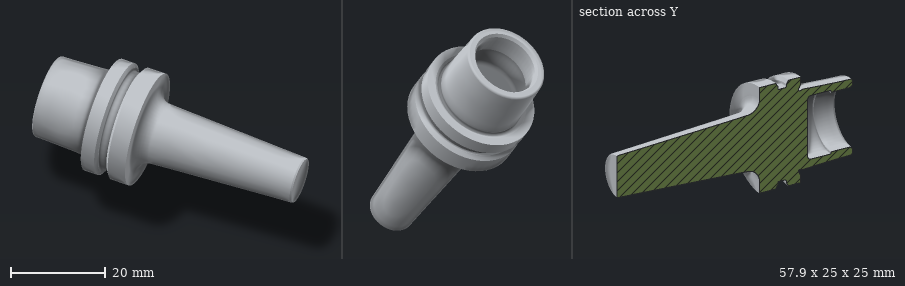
import cadquery as cq
import math


shank_length = 12.75
flange_width = 10.15
nose_length = 35.0
flange_back_x = shank_length + flange_width
tip_x = flange_back_x + nose_length

shank_front_radius = 9.0
shank_neck_radius = 9.52
shank_edge_length = 0.4
shank_edge_radius = 8.46
neck_start_x = 11.86
neck_length = 0.4
neck_end_x = neck_start_x + neck_length
neck_slope_end_x = neck_end_x + 0.5
neck_slope_end_radius = 9.35

relief_outer_radius = 10.6
relief_inner_radius = 10.0
relief_floor_radius = 9.5
relief_cone_depth = 0.3
relief_floor_depth = 0.45
relief_cone_end_x = shank_length + relief_cone_depth
relief_floor_x = shank_length + relief_floor_depth

flange_radius = 12.5
groove_radius = 10.92
groove_front_x = 15.8
groove_front_wall_x = 16.3
groove_back_wall_x = 18.25
groove_back_x = 18.9
groove_front_chamfer_height = 0.85
groove_back_chamfer_height = 0.95
groove_root_fillet = 0.3

nose_half_angle = math.radians(3.0)
tip_radius = 5.0
tip_chamfer_length = 0.35
tip_chamfer_height = 0.15
nose_root_fillet = 3.0

bore_mouth_radius = 7.42
bore_radius = 6.96
bore_chamfer_length = 0.65
chamber_start_x = 5.4
chamber_radius = 7.45
chamber_floor_x = 11.0
chamber_floor_fillet = 0.8

quarter_arc_middle = math.sqrt(0.5)


def nose_radius_at(x):
    """Radius of the nose cone at position x."""
    return tip_radius + (tip_x - x) * math.tan(nose_half_angle)


def draw_shank(profile):
    """Rounded front edge, taper, short cylindrical neck and the slope behind it."""
    edge_height = shank_front_radius - shank_edge_radius
    edge_middle = (
        shank_edge_length * (1 - quarter_arc_middle),
        shank_edge_radius + edge_height * quarter_arc_middle,
    )
    return (
        profile.lineTo(0, shank_edge_radius)
        .threePointArc(edge_middle, (shank_edge_length, shank_front_radius))
        .lineTo(neck_start_x, shank_neck_radius)
        .lineTo(neck_end_x, shank_neck_radius)
        .lineTo(neck_slope_end_x, neck_slope_end_radius)
    )


def draw_relief(profile):
    """Rounded undercut behind the neck, opening to the flange face as a cone."""
    return (
        profile.threePointArc(
            (relief_floor_x, relief_floor_radius),
            (relief_cone_end_x, relief_inner_radius),
        )
        .lineTo(shank_length, relief_outer_radius)
    )


def draw_flange(profile):
    """Flange rim with a chamfered gripper groove."""
    root_middle = groove_root_fillet * (1 - quarter_arc_middle)
    front_root_x = groove_front_wall_x + groove_root_fillet
    return (
        profile.lineTo(shank_length, flange_radius)
        .lineTo(groove_front_x, flange_radius)
        .lineTo(groove_front_wall_x, flange_radius - groove_front_chamfer_height)
        .lineTo(groove_front_wall_x, groove_radius + groove_root_fillet)
        .threePointArc(
            (groove_front_wall_x + root_middle, groove_radius + root_middle),
            (front_root_x, groove_radius),
        )
        .lineTo(groove_back_wall_x, groove_radius)
        .lineTo(groove_back_wall_x, flange_radius - groove_back_chamfer_height)
        .lineTo(groove_back_x, flange_radius)
        .lineTo(flange_back_x, flange_radius)
    )


def draw_nose(profile):
    """Root fillet tangent to the flange and the cone, then the cone and its tip."""
    center_x = flange_back_x + nose_root_fillet
    center_radius = nose_radius_at(center_x) + nose_root_fillet / math.cos(nose_half_angle)

    def fillet_point(angle):
        return (
            center_x - nose_root_fillet * math.sin(angle),
            center_radius - nose_root_fillet * math.cos(angle),
        )

    flange_angle = math.pi / 2
    middle_angle = (flange_angle + nose_half_angle) / 2
    tip_start_x = tip_x - tip_chamfer_length
    return (
        profile.lineTo(*fillet_point(flange_angle))
        .threePointArc(fillet_point(middle_angle), fillet_point(nose_half_angle))
        .lineTo(tip_start_x, nose_radius_at(tip_start_x))
        .lineTo(tip_x, tip_radius - tip_chamfer_height)
        .lineTo(tip_x, 0)
    )


def draw_bore(profile):
    """Chamber and chamfered bore, from the center of the floor out to the mouth."""
    fillet_middle = chamber_floor_fillet * (1 - quarter_arc_middle)
    return (
        profile.lineTo(chamber_floor_x, chamber_radius - chamber_floor_fillet)
        .threePointArc(
            (chamber_floor_x - fillet_middle, chamber_radius - fillet_middle),
            (chamber_floor_x - chamber_floor_fillet, chamber_radius),
        )
        .lineTo(chamber_start_x, chamber_radius)
        .lineTo(chamber_start_x, bore_radius)
        .lineTo(bore_chamfer_length, bore_radius)
        .lineTo(0, bore_mouth_radius)
    )


profile = cq.Workplane("XY").moveTo(chamber_floor_x, 0)
for draw_section in (draw_bore, draw_shank, draw_relief, draw_flange, draw_nose):
    profile = draw_section(profile)

result = profile.close().revolve(360, (0, 0, 0), (1, 0, 0))